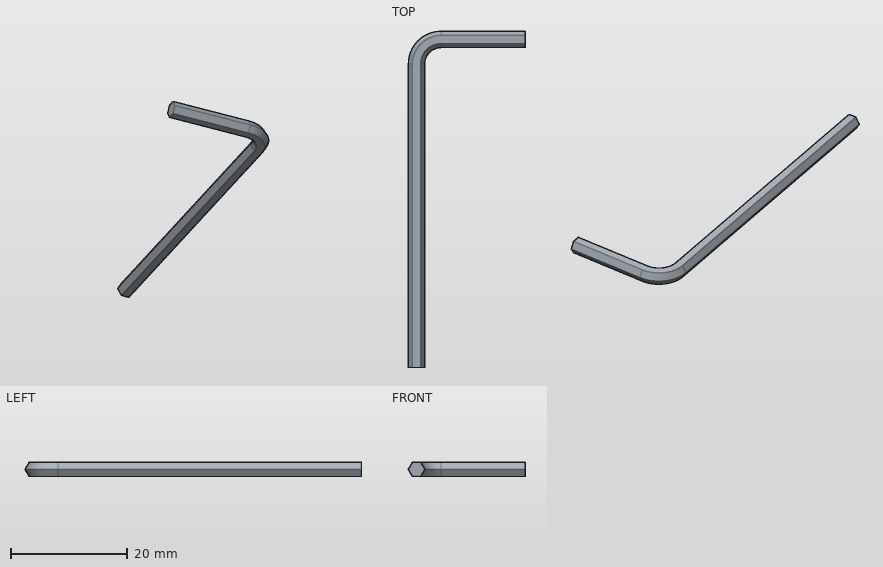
import cadquery as cq
import math

across_flats = 2.5
overall_x = 20.18
overall_y = 58.01
bend_radius = 4.25
edge_rounding = 0.07

sharp_corner_radius = across_flats / 2 / math.cos(math.radians(30))
rounding_loss = edge_rounding * (1 / math.cos(math.radians(30)) - 1)
rounded_corner_radius = sharp_corner_radius - rounding_loss

long_arm_end_y = rounded_corner_radius - overall_y
short_arm_end_x = overall_x - rounded_corner_radius
bend_midpoint_offset = bend_radius * (1 - math.cos(math.radians(45)))


def centreline():
    """Path in the XY plane: up the long arm, round the bend, along the short arm."""
    return (
        cq.Workplane("XY")
        .moveTo(0, long_arm_end_y)
        .lineTo(0, -bend_radius)
        .threePointArc((bend_midpoint_offset, -bend_midpoint_offset), (bend_radius, 0))
        .lineTo(short_arm_end_x, 0)
    )


def bent_bar():
    """Hexagonal bar with rounded corners, swept from the free end of the long arm."""
    hexagon = cq.Sketch().regularPolygon(sharp_corner_radius, 6, angle=30)
    rounded_hexagon = hexagon.vertices().fillet(edge_rounding)
    end_plane = cq.Workplane("XZ", origin=(0, long_arm_end_y, 0))
    return end_plane.placeSketch(rounded_hexagon).sweep(centreline())


def round_ends(bar):
    """Round the rims of the two end faces, which face -Y and +X."""
    return bar.faces("<Y or >X").edges().fillet(edge_rounding)


result = round_ends(bent_bar())